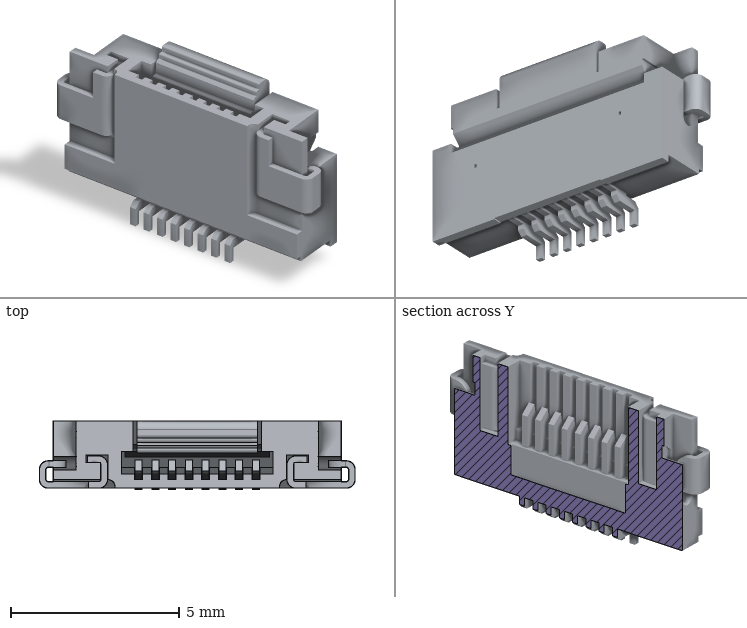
import cadquery as cq


BODY_WIDTH = 8.58
BODY_DEPTH = 2.0
BODY_TOP = 5.0
BODY_BOTTOM = 0.85
BODY_HALF = BODY_WIDTH / 2
LIP_DEPTH = 0.2
LIP_HEIGHT = 0.18
FOOT_DEPTH = 0.31
FOOT_BOTTOM = 0.61
FOOT_NOTCH_WIDTH = 3.99
FOOT_NOTCH_HEIGHT = 0.04

LOBE_WIDTH = 0.69
LOBE_TOP = 3.7
LOBE_FRONT = 0.95
FIN_BACK = 0.54
END_SLOT_BOTTOM = 2.26
BACK_GROOVE = 0.31
SIDE_RECESS = 0.075
SIDE_RECESS_FRONT = 0.65
SIDE_RECESS_TOP = 4.21
SIDE_RECESS_ARC_START = 1.49
SIDE_RECESS_ARC_MIDDLE = (1.07, 4.15)
SIDE_RECESS_ARC_END = (0.73, 3.93)
SIDE_RECESS_CORNER = 3.86
INNER_WALL = BODY_HALF - LOBE_WIDTH

MOUTH_HALF = 2.26
MOUTH_FRONT = 0.42
MOUTH_BACK = 1.1
MOUTH_FLOOR = 2.44
LEDGE_BACK = 0.62
LEDGE_TOP = 2.82
CABLE_SLOT_HALF = 2.14
CABLE_SLOT_FRONT = 0.93
CABLE_SLOT_DEPTH = 1.41
REAR_MOUTH_HALF = 1.92
REAR_FLOOR = 4.32
REAR_FLOOR_FRONT = 1.3
REAR_FLOOR_DROP = 0.56

BAR_WIDTH = 3.6
BAR_TOP = 5.5
BAR_ROUND = 0.25
BAR_EDGE_ROUND = 0.06
BAR_CHAMFER = 0.075
BAR_FRONT = 1.05
BAR_STEP_Y = (1.49, 1.35, 1.2)
BAR_STEP_Z = (5.3, 5.13, 4.68)

CONTACT_COUNT = 8
CONTACT_PITCH = 0.5
CONTACT_WIDTH = 0.21
CONTACT_SLOT_WIDTH = 0.235
CONTACT_SLOT_FRONT = 0.25
TAIL_FRONT = -0.04
TAIL_BACK = 1.02
TAIL_LEG = 0.17
TAIL_TOP = 0.76
TAIL_UNDERSIDE = 0.45
TAIL_CHAMFER = 0.16
ROOT_FRONT = 0.54
SPRING_HEEL = 0.51
SPRING_TIP = 0.85
SPRING_TOP = 3.76
SPRING_DROP = 0.28

CLIP_WIDTH = 9.4
CLIP_THICKNESS = 0.2
CLIP_ROUND = 0.26
CLIP_BOTTOM = 2.71
CLIP_TOP = 3.89
CLIP_ARM_TOP = 4.79
CLIP_ARM_EDGE = 3.24
CLIP_BACK = 0.82
CLIP_TONGUE_END = 3.9
CLIP_TONGUE_ROUND = 0.51
CLIP_INNER = 2.67
HOOK_BACK = 0.96
HOOK_TIP = 3.27
CLIP_HALF = CLIP_WIDTH / 2

RECESS_INNER = 2.45
RECESS_DEPTH = 0.25
RECESS_BOTTOM = 1.88
RECESS_ROUND = 0.19
HOOK_SLOT_INNER = 2.65
HOOK_SLOT_OUTER = 2.89
HOOK_SLOT_BACK = 0.99
HOOK_SLOT_FRONT = HOOK_BACK - CLIP_THICKNESS
HOOK_SLOT_END = 3.31
HOOK_SLOT_BOTTOM = 2.59
WINDOW_WIDTH = 0.1


def box(x0, x1, y0, y1, z0, z1):
    """Block between two opposite corners."""
    return cq.Workplane("XY").box(x1 - x0, y1 - y0, z1 - z0, centered=False).translate((x0, y0, z0))


def side_prism(profile, x0, x1):
    """Extrude a closed (Y, Z) profile from x0 to x1."""
    return profile.extrude(x1 - x0).translate((x0, 0, 0))


def side_polygon(points, x0, x1):
    return side_prism(cq.Workplane("YZ").polyline(points).close(), x0, x1)


def both_ends(shape):
    """The shape on the +X end together with its mirror image."""
    return shape.union(shape.mirror("YZ"))


def contact_positions():
    first = -CONTACT_PITCH * (CONTACT_COUNT - 1) / 2
    return [first + CONTACT_PITCH * index for index in range(CONTACT_COUNT)]


def housing_block():
    """Side profile with the foot rail; the back groove is deeper between the end blocks."""
    block = side_polygon(
        [
            (0, BODY_TOP),
            (0, BODY_BOTTOM + LIP_HEIGHT),
            (LIP_DEPTH, BODY_BOTTOM + LIP_HEIGHT),
            (LIP_DEPTH, BODY_BOTTOM),
            (BODY_DEPTH - FOOT_DEPTH, BODY_BOTTOM),
            (BODY_DEPTH - FOOT_DEPTH, FOOT_BOTTOM),
            (BODY_DEPTH, FOOT_BOTTOM),
            (BODY_DEPTH, LOBE_TOP),
            (BODY_DEPTH - BACK_GROOVE, LOBE_TOP),
            (BODY_DEPTH, LOBE_TOP + BACK_GROOVE),
            (BODY_DEPTH, BODY_TOP),
        ],
        -BODY_HALF,
        BODY_HALF,
    )
    half = FOOT_NOTCH_WIDTH / 2
    notch_top = FOOT_BOTTOM + FOOT_NOTCH_HEIGHT
    notch = box(-half, half, BODY_DEPTH - FOOT_DEPTH, BODY_DEPTH, FOOT_BOTTOM, notch_top)
    groove_pocket = box(
        -INNER_WALL,
        INNER_WALL,
        BODY_DEPTH - BACK_GROOVE,
        BODY_DEPTH,
        LOBE_TOP - BACK_GROOVE,
        LOBE_TOP,
    )
    return block.cut(notch).cut(groove_pocket)


def end_relief():
    """Space over the end block and the round-bottomed slot behind the front fin."""

    def opening(x0, x1):
        slot_round = (LOBE_FRONT - FIN_BACK) / 2
        slot_middle = (LOBE_FRONT + FIN_BACK) / 2
        round_centre = END_SLOT_BOTTOM + slot_round
        end_circle = cq.Workplane("YZ").center(slot_middle, round_centre).circle(slot_round)
        slot_end = side_prism(end_circle, x0, x1)
        slot = box(x0, x1, FIN_BACK, LOBE_FRONT, round_centre, BODY_TOP).union(slot_end)
        return slot.union(box(x0, x1, FIN_BACK, BODY_DEPTH, LOBE_TOP, BODY_TOP))

    recess_outline = (
        cq.Workplane("YZ")
        .moveTo(BODY_DEPTH, END_SLOT_BOTTOM)
        .lineTo(BODY_DEPTH, SIDE_RECESS_TOP)
        .lineTo(SIDE_RECESS_ARC_START, SIDE_RECESS_TOP)
        .threePointArc(SIDE_RECESS_ARC_MIDDLE, SIDE_RECESS_ARC_END)
        .lineTo(SIDE_RECESS_FRONT, SIDE_RECESS_CORNER)
        .lineTo(SIDE_RECESS_FRONT, END_SLOT_BOTTOM)
        .close()
    )
    deep = INNER_WALL - SIDE_RECESS
    recess = side_prism(recess_outline, deep, INNER_WALL).intersect(opening(deep, INNER_WALL))
    return both_ends(opening(INNER_WALL, BODY_HALF).union(recess))


def clip_clearance():
    """Front recess with a round inner corner, the hook slot and the small rear window."""
    recess = box(RECESS_INNER, BODY_HALF, 0, RECESS_DEPTH, RECESS_BOTTOM, BODY_TOP)
    recess = recess.edges("|Z and <X and >Y").fillet(RECESS_ROUND)
    leg = box(HOOK_SLOT_INNER, HOOK_SLOT_OUTER, 0, HOOK_SLOT_BACK, HOOK_SLOT_BOTTOM, BODY_TOP)
    hook = box(HOOK_SLOT_INNER, HOOK_SLOT_END, HOOK_SLOT_FRONT, HOOK_SLOT_BACK, HOOK_SLOT_BOTTOM, BODY_TOP)
    window_outer = HOOK_SLOT_INNER + WINDOW_WIDTH
    window = box(HOOK_SLOT_INNER, window_outer, 0, BODY_DEPTH, HOOK_SLOT_BOTTOM, CLIP_BOTTOM)
    return both_ends(recess.union(leg).union(hook).union(window))


def cable_opening():
    mouth = side_polygon(
        [
            (MOUTH_FRONT, BODY_TOP),
            (MOUTH_FRONT, LEDGE_TOP),
            (LEDGE_BACK, LEDGE_TOP),
            (LEDGE_BACK, MOUTH_FLOOR),
            (MOUTH_BACK, MOUTH_FLOOR),
            (MOUTH_BACK, BODY_TOP),
        ],
        -MOUTH_HALF,
        MOUTH_HALF,
    )
    cable_slot = side_polygon(
        [
            (CABLE_SLOT_FRONT, MOUTH_FLOOR),
            (CABLE_SLOT_FRONT, MOUTH_FLOOR - CABLE_SLOT_DEPTH),
            (MOUTH_BACK, MOUTH_FLOOR),
        ],
        -CABLE_SLOT_HALF,
        CABLE_SLOT_HALF,
    )
    rear = side_polygon(
        [
            (MOUTH_BACK, BODY_TOP),
            (MOUTH_BACK, REAR_FLOOR - REAR_FLOOR_DROP),
            (REAR_FLOOR_FRONT, REAR_FLOOR),
            (BODY_DEPTH, REAR_FLOOR),
            (BODY_DEPTH, BODY_TOP),
        ],
        -REAR_MOUTH_HALF,
        REAR_MOUTH_HALF,
    )
    opening = mouth.union(cable_slot).union(rear)
    half = CONTACT_SLOT_WIDTH / 2
    for x in contact_positions():
        slot = box(x - half, x + half, CONTACT_SLOT_FRONT, LEDGE_BACK, MOUTH_FLOOR, BODY_TOP)
        opening = opening.union(slot)
    return opening


def locking_bar():
    """Stepped bar standing out of the housing top, its long edges rounded or chamfered."""
    root = REAR_FLOOR - REAR_FLOOR_DROP
    outline = [(BODY_DEPTH, BAR_TOP)]
    level = BAR_TOP
    for step_y, step_z in zip(BAR_STEP_Y, BAR_STEP_Z):
        outline += [(step_y, level), (step_y, step_z)]
        level = step_z
    outline += [
        (BAR_FRONT, level),
        (BAR_FRONT, root),
        (BODY_DEPTH - BACK_GROOVE, root),
        (BODY_DEPTH, LOBE_TOP + BACK_GROOVE),
    ]
    half = BAR_WIDTH / 2
    bar = side_polygon(outline, -half, half)
    bar = bar.edges(cq.NearestToPointSelector((0, BODY_DEPTH, BAR_TOP))).fillet(BAR_ROUND)
    top_y, middle_y, lower_y = BAR_STEP_Y
    middle_z, lower_z, ledge_z = BAR_STEP_Z
    for y, z in ((top_y, BAR_TOP), (middle_y, middle_z), (BAR_FRONT, ledge_z)):
        bar = bar.edges(cq.NearestToPointSelector((0, y, z))).fillet(BAR_EDGE_ROUND)
    bar = bar.edges(cq.NearestToPointSelector((0, lower_y, lower_z))).chamfer(BAR_CHAMFER)
    return bar


def contact(x):
    """Spring inside the mouth, and the solder tail with its root under the housing."""
    x0 = x - CONTACT_WIDTH / 2
    x1 = x + CONTACT_WIDTH / 2
    spring = side_polygon(
        [
            (CONTACT_SLOT_FRONT, MOUTH_FLOOR),
            (SPRING_HEEL, SPRING_TOP),
            (SPRING_TIP, SPRING_TOP - SPRING_DROP),
            (SPRING_TIP, MOUTH_FLOOR),
        ],
        x0,
        x1,
    )
    tail = side_polygon(
        [
            (TAIL_FRONT, 0),
            (TAIL_FRONT + TAIL_LEG, 0),
            (TAIL_FRONT + TAIL_LEG, TAIL_UNDERSIDE),
            (TAIL_BACK - TAIL_CHAMFER, TAIL_UNDERSIDE),
            (TAIL_BACK, TAIL_UNDERSIDE + TAIL_CHAMFER),
            (TAIL_BACK, TAIL_TOP),
            (BODY_DEPTH - FOOT_DEPTH, TAIL_TOP),
            (BODY_DEPTH - FOOT_DEPTH, BODY_BOTTOM),
            (ROOT_FRONT, BODY_BOTTOM),
            (ROOT_FRONT, TAIL_TOP),
            (TAIL_FRONT + TAIL_CHAMFER, TAIL_TOP),
            (TAIL_FRONT, TAIL_TOP - TAIL_CHAMFER),
        ],
        x0,
        x1,
    )
    return spring.union(tail)


def clips():
    """Bent strips: a tongue around each housing end and a hook into the front wall."""

    def strip(x0, x1, y0, y1, z1):
        return box(x0, x1, y0, y1, CLIP_BOTTOM, z1)

    def ring(x0, x1, y0, y1, z1):
        """Rectangular tube of strip thickness with rounded corners."""
        wall = CLIP_THICKNESS
        outer = strip(x0, x1, y0, y1, z1).edges("|Z").fillet(CLIP_ROUND)
        inner = strip(x0 + wall, x1 - wall, y0 + wall, y1 - wall, z1)
        inner = inner.edges("|Z").fillet(CLIP_ROUND - wall)
        return outer.cut(inner)

    tongue = ring(CLIP_INNER, CLIP_HALF, 0, CLIP_BACK, CLIP_TOP)
    tongue = tongue.cut(strip(0, CLIP_ARM_EDGE, 0, CLIP_BACK, CLIP_TOP))
    tongue = tongue.cut(strip(0, CLIP_TONGUE_END, CLIP_THICKNESS, CLIP_BACK, CLIP_TOP))
    tongue_corner = (CLIP_TONGUE_END, CLIP_BACK - CLIP_THICKNESS / 2, CLIP_TOP)
    tongue = tongue.edges(cq.NearestToPointSelector(tongue_corner)).fillet(CLIP_TONGUE_ROUND)

    hook = ring(CLIP_INNER, CLIP_HALF, 0, HOOK_BACK, CLIP_ARM_TOP)
    hook = hook.intersect(strip(0, HOOK_TIP, 0, HOOK_BACK, CLIP_ARM_TOP))
    hook = hook.cut(strip(CLIP_ARM_EDGE, HOOK_TIP, 0, CLIP_THICKNESS, CLIP_ARM_TOP))
    return both_ends(tongue.union(hook))


result = housing_block().cut(end_relief()).cut(clip_clearance()).cut(cable_opening())
result = result.union(locking_bar())
for contact_x in contact_positions():
    result = result.union(contact(contact_x))
result = result.union(clips())